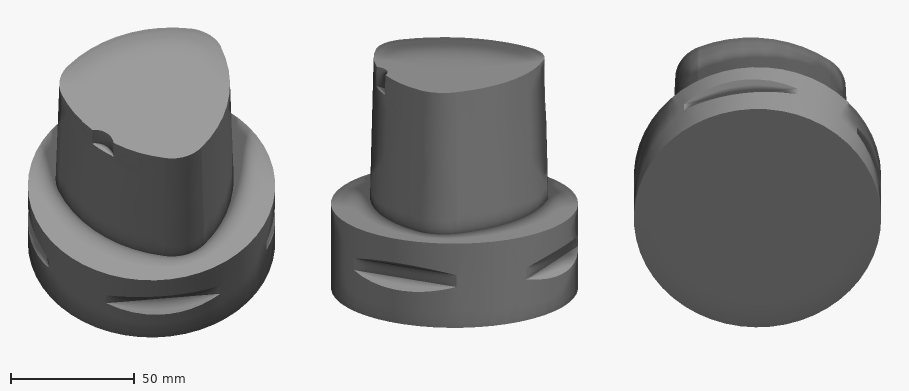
import cadquery as cq
import math

FLANGE_DIAMETER = 100
FLANGE_HEIGHT = 36

SHANK_HEIGHT = 60
BASE_WIDTH = 72
SIDE_RADIUS = 54.6
LOBE_RADIUS = BASE_WIDTH - SIDE_RADIUS
LOBE_OFFSET = 21.6
TAPER_RATIO = 1 / 20
TAPER_ANGLE = math.degrees(math.atan(TAPER_RATIO / 2))

NOTCH_RADIUS = 7.5
NOTCH_CENTRE_Y = -36.4
NOTCH_DEPTH = 8.4

GROOVE_ANGLES = (45, 135, 225, 315)
GROOVE_HEIGHT = 20
GROOVE_FLOOR_WIDTH = 5
GROOVE_FLOOR_DISTANCE = 44.3
GROOVE_WALL_ANGLE = 30
CUT_MARGIN = 2


def polar_point(centre, radius, angle):
    a = math.radians(angle)
    return centre[0] + radius * math.cos(a), centre[1] + radius * math.sin(a)


def make_shank():
    """Alternate three lobe arcs with three long arcs, each spanning 60 degrees."""
    half_span = 30
    axis = (0, 0)
    lobe_angles = (90, 210, 330)
    first_lobe = polar_point(axis, LOBE_OFFSET, lobe_angles[0])
    profile = cq.Workplane("XY").workplane(offset=FLANGE_HEIGHT)
    profile = profile.moveTo(*polar_point(first_lobe, LOBE_RADIUS, lobe_angles[0] - half_span))
    for angle in lobe_angles:
        lobe = polar_point(axis, LOBE_OFFSET, angle)
        profile = profile.threePointArc(
            polar_point(lobe, LOBE_RADIUS, angle),
            polar_point(lobe, LOBE_RADIUS, angle + half_span),
        )
        side_angle = angle + 2 * half_span
        opposite_lobe = polar_point(axis, LOBE_OFFSET, side_angle + 180)
        profile = profile.threePointArc(
            polar_point(opposite_lobe, SIDE_RADIUS, side_angle),
            polar_point(opposite_lobe, SIDE_RADIUS, side_angle + half_span),
        )
    return profile.close().extrude(SHANK_HEIGHT, taper=TAPER_ANGLE)


def make_notch():
    return (
        cq.Workplane("XY")
        .workplane(offset=FLANGE_HEIGHT + SHANK_HEIGHT - NOTCH_DEPTH)
        .center(0, NOTCH_CENTRE_Y)
        .circle(NOTCH_RADIUS)
        .extrude(NOTCH_DEPTH)
    )


def make_groove(angle):
    """Straight trapezoidal cutter, widening outward from its flat floor."""
    outer_distance = FLANGE_DIAMETER / 2 + CUT_MARGIN
    floor_half = GROOVE_FLOOR_WIDTH / 2
    widening = (outer_distance - GROOVE_FLOOR_DISTANCE) * math.tan(math.radians(GROOVE_WALL_ANGLE))
    outer_half = floor_half + widening
    return (
        cq.Workplane("XZ")
        .polyline([
            (GROOVE_FLOOR_DISTANCE, GROOVE_HEIGHT - floor_half),
            (outer_distance, GROOVE_HEIGHT - outer_half),
            (outer_distance, GROOVE_HEIGHT + outer_half),
            (GROOVE_FLOOR_DISTANCE, GROOVE_HEIGHT + floor_half),
        ])
        .close()
        .extrude(FLANGE_DIAMETER / 2, both=True)
        .rotate((0, 0, 0), (0, 0, 1), angle)
    )


flange = cq.Workplane("XY").circle(FLANGE_DIAMETER / 2).extrude(FLANGE_HEIGHT)
result = flange.union(make_shank()).cut(make_notch())
for groove_angle in GROOVE_ANGLES:
    result = result.cut(make_groove(groove_angle))